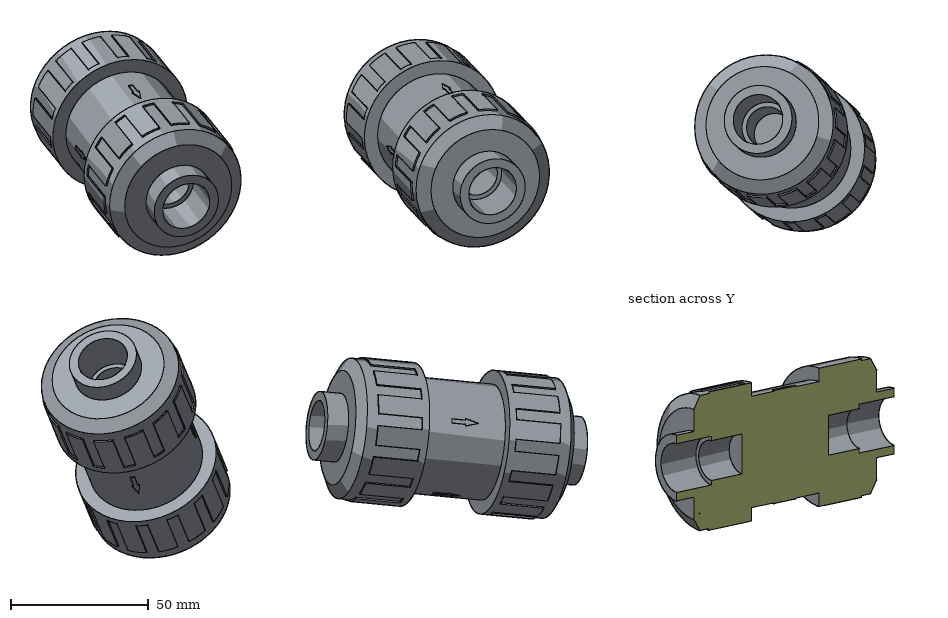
import cadquery as cq
import math


total_length = 99.5
body_radius = 21.2
spigot_radius = 12.5
spigot_length = 8.0

nut_length = 26.5
nut_radius = 26.3
nut_core_radius = 25.7
nut_face_radius = 20.9
chamfer_length = 2.8
teeth_start = 7.0
collar_width = 2.7
tooth_count = 14
tooth_pitch = 360 / tooth_count
tooth_angle = 16.0
cut_clearance = 1.0
first_tooth_angle = 5.0

socket_radius = 9.2
socket_depth = 15.9
bore_radius = 7.5
bore_depth = 29.85

arrow_count = 4
arrow_height = 0.3
arrow_root_depth = 1.0
arrow_tail_x = -5.2
arrow_neck_x = 0.0
arrow_tip_x = 5.0
arrow_shaft_width = 1.6
arrow_head_width = 2.9

left_end = -total_length / 2
right_end = total_length / 2


def cylinder(radius, start_x, length):
    return cq.Workplane("YZ", origin=(start_x, 0, 0)).circle(radius).extrude(length)


def polar(radius, angle):
    return radius * math.cos(math.radians(angle)), radius * math.sin(math.radians(angle))


def tooth_gap():
    """Cutter for the space between two teeth: a ring sector centred on +Y, open at the tooth tips."""
    inner_radius = nut_core_radius - cut_clearance
    outer_radius = nut_radius + cut_clearance
    half_angle = (tooth_pitch - tooth_angle) / 2
    gap_start = teeth_start - cut_clearance
    gap_end = nut_length - collar_width
    return (
        cq.Workplane("YZ", origin=(gap_start, 0, 0))
        .moveTo(*polar(inner_radius, -half_angle))
        .lineTo(*polar(outer_radius, -half_angle))
        .threePointArc((outer_radius, 0), polar(outer_radius, half_angle))
        .lineTo(*polar(inner_radius, half_angle))
        .threePointArc((inner_radius, 0), polar(inner_radius, -half_angle))
        .close()
        .extrude(gap_end - gap_start)
    )


def toothed_collar():
    """Collar with teeth pointing to -X; its gaps run deeper than the core that later fills them."""
    collar = cylinder(nut_radius, teeth_start, nut_length - teeth_start)
    gap = tooth_gap()
    for index in range(tooth_count):
        gap_angle = first_tooth_angle + (index + 0.5) * tooth_pitch
        collar = collar.cut(gap.rotate((0, 0, 0), (1, 0, 0), 180 - gap_angle))
    return collar


def union_nut():
    """Solid nut with its chamfered end at X = 0 and its collar towards +X."""
    profile = [
        (0, 0),
        (0, nut_face_radius),
        (chamfer_length, nut_core_radius),
        (nut_length, nut_core_radius),
        (nut_length, 0),
    ]
    core = cq.Workplane("XY").polyline(profile).close().revolve(360, (0, 0, 0), (1, 0, 0))
    return core.union(toothed_collar())


def flow_arrows():
    """Arrows pointing to +X, evenly spaced around the body and curved to follow it."""
    half_shaft = arrow_shaft_width / 2
    half_head = arrow_head_width / 2
    outline = [
        (arrow_tail_x, -half_shaft),
        (arrow_neck_x, -half_shaft),
        (arrow_neck_x, -half_head),
        (arrow_tip_x, 0),
        (arrow_neck_x, half_head),
        (arrow_neck_x, half_shaft),
        (arrow_tail_x, half_shaft),
    ]
    top_radius = body_radius + arrow_height
    root_radius = body_radius - arrow_root_depth
    arrow_length = arrow_tip_x - arrow_tail_x
    base = cq.Workplane("XY", origin=(0, 0, root_radius))
    prism = base.polyline(outline).close().extrude(top_radius - root_radius)
    arrow = prism.intersect(cylinder(top_radius, arrow_tail_x, arrow_length))
    return [
        arrow.rotate((0, 0, 0), (1, 0, 0), index * 360 / arrow_count)
        for index in range(arrow_count)
    ]


def stepped_bore():
    """Cutter for the left end: a wide socket followed by a narrower blind bore."""
    socket = cylinder(socket_radius, left_end, socket_depth)
    return socket.union(cylinder(bore_radius, left_end, bore_depth))


def turned_end_for_end(shape):
    return shape.rotate((0, 0, 0), (0, 0, 1), 180)


nut = union_nut()
left_nut_x = left_end + spigot_length
right_nut_x = right_end - spigot_length
result = cylinder(spigot_radius, left_end, total_length)
body_start = left_nut_x + chamfer_length
body_length = right_nut_x - chamfer_length - body_start
result = result.union(cylinder(body_radius, body_start, body_length))

result = result.union(nut.translate((left_nut_x, 0, 0)))
result = result.union(turned_end_for_end(nut).translate((right_nut_x, 0, 0)))

for arrow in flow_arrows():
    result = result.union(arrow)

result = result.cut(stepped_bore())
result = result.cut(turned_end_for_end(stepped_bore()))